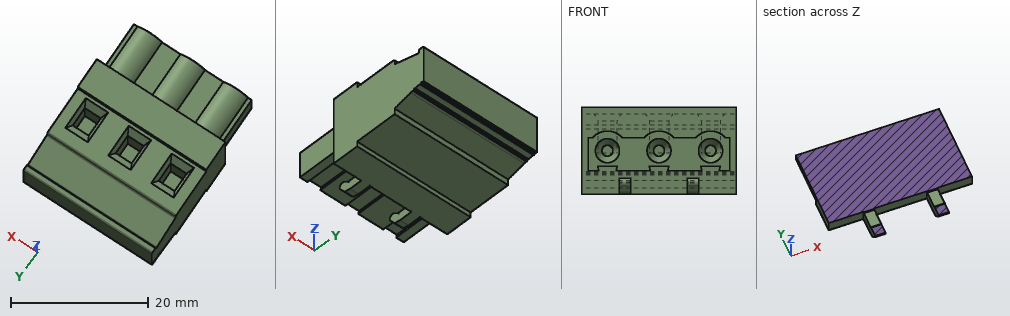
import cadquery as cq
import math

width = 22.5
length = 27.6
height = 12.7
pole_pitch = 7.5
pole_count = 3

flange_front = 8.3
flange_back = 13.33
body_bottom = 0.95
body_top = 11.73
step_y = 21.35
upper_slope_front_z = 10.82
upper_slope_back_z = 9.5
rim_front = 26.58
rim_top = 10.15
lower_slope_front_z = 2.05
lower_slope_back_y = 24.85
lower_slope_back_z = 2.85
lower_arc_mid_y = 26.22
lower_arc_mid_z = 3.15
back_bottom_z = 3.25
profile_fillet = 0.2
grip_radius = 0.1
grip_bead_spots = [(25.4, 2.98), (26.9, 3.23)]
grip_groove_spots = [(25.67, 3.04), (27.15, 3.25)]

plug_width = 20.6
plug_bottom = 3.45
plug_top = 8.25
contact_z = 6.35
barrel_radius = 2.87
contact_mouth_diameter = 3.5
contact_throat_diameter = 1.6
contact_funnel_depth = 1.8
key_slot_top_width = 2.85
key_slot_mouth_width = 2.55
key_slot_depth = 0.63

pocket_y = 16.55
pocket_size_x = 3.92
pocket_size_y = 5.35
well_size_x = 2.8
well_size_y = 3.15
pocket_taper_depth = 1.0
well_depth = 4.7

latch_width = 1.68
latch_spacing = 9.94
latch_top = 1.68
latch_tip_y = 4.33
latch_tip_radius = 0.63
latch_ramp_start_y = 5.93
latch_ramp_angle = math.radians(10)
latch_front_angle = math.radians(50)
latch_bend_radius = 0.58
latch_hook_angle = math.radians(34)
latch_root_chamfer = 0.17

middle_x = width / 2
pole_positions = [middle_x + (i - (pole_count - 1) / 2) * pole_pitch for i in range(pole_count)]


def side_extrusion(sketch, x_start, x_size):
    """Extrude a closed (y, z) outline along X from x_start."""
    return sketch.close().extrude(x_size).translate((x_start, 0, 0))


def housing():
    outline = (
        cq.Workplane("YZ")
        .moveTo(flange_front, 0)
        .lineTo(flange_back, 0)
        .lineTo(flange_back, body_bottom)
        .lineTo(step_y, body_bottom)
        .lineTo(step_y, lower_slope_front_z)
        .lineTo(lower_slope_back_y, lower_slope_back_z)
        .threePointArc((lower_arc_mid_y, lower_arc_mid_z), (length, back_bottom_z))
        .lineTo(length, rim_top)
        .lineTo(rim_front, rim_top)
        .lineTo(rim_front, upper_slope_back_z)
        .lineTo(step_y, upper_slope_front_z)
        .lineTo(step_y, body_top)
        .lineTo(flange_back, body_top)
        .lineTo(flange_back, height)
        .lineTo(flange_front, height)
    )
    body = side_extrusion(outline, 0, width)
    rounded_corners = [
        (length, rim_top),
        (rim_front, rim_top),
        (rim_front, upper_slope_back_z),
        (step_y, upper_slope_front_z),
        (step_y, body_top),
    ]
    for y, z in rounded_corners:
        corner = cq.selectors.NearestToPointSelector((middle_x, y, z))
        body = body.edges("|X").edges(corner).fillet(profile_fillet)
    return body.cut(grip_rods(grip_groove_spots)).union(grip_rods(grip_bead_spots))


def grip_rods(spots):
    """Thin rods across the full width that form the finger grip under the back slope."""
    return cq.Workplane("YZ").pushPoints(spots).circle(grip_radius).extrude(width)


def plug_block(top):
    block_size = (plug_width, flange_front, top - plug_bottom)
    block = cq.Workplane("XY").box(*block_size, centered=(True, False, False))
    return block.translate((middle_x, 0, plug_bottom))


def plug_cylinder(x, radius):
    """Cylinder on a contact axis, as long as the plug."""
    return cq.Workplane("XZ", origin=(x, 0, contact_z)).circle(radius).extrude(-flange_front)


def plug():
    """Flat-topped block with a barrel over each contact, trimmed flush at the block sides."""
    block = plug_block(plug_top)
    envelope = plug_block(height)
    for x in pole_positions:
        barrel = plug_cylinder(x, barrel_radius)
        block = block.union(barrel.intersect(envelope))
    return block.cut(key_slots())


def key_slots():
    """Dovetail slots along the underside of the plug, one under each contact."""
    slots = cq.Workplane("XZ")
    for x in pole_positions:
        slots = slots.polyline([
            (x - key_slot_mouth_width / 2, plug_bottom),
            (x + key_slot_mouth_width / 2, plug_bottom),
            (x + key_slot_top_width / 2, plug_bottom + key_slot_depth),
            (x - key_slot_top_width / 2, plug_bottom + key_slot_depth),
        ]).close()
    return slots.extrude(-flange_front)


def contact_hole(x):
    """Conical lead-in in the plug face that narrows to a bore as deep as the plug."""
    funnel = cq.Solid.makeCone(
        contact_mouth_diameter / 2,
        contact_throat_diameter / 2,
        contact_funnel_depth,
        cq.Vector(x, 0, contact_z),
        cq.Vector(0, 1, 0),
    )
    bore = plug_cylinder(x, contact_throat_diameter / 2)
    return bore.union(cq.Workplane(funnel))


def screw_pockets():
    """Tapered rectangular mouths that lead into straight wells."""
    centers = [(x, pocket_y) for x in pole_positions]
    pockets = (
        cq.Workplane("XY")
        .workplane(offset=body_top - pocket_taper_depth)
        .pushPoints(centers)
        .rect(well_size_x, well_size_y)
        .extrude(-well_depth)
    )
    for center in centers:
        mouth = (
            cq.Workplane("XY")
            .workplane(offset=body_top)
            .center(*center)
            .rect(pocket_size_x, pocket_size_y)
            .workplane(offset=-pocket_taper_depth)
            .rect(well_size_x, well_size_y)
            .loft()
        )
        pockets = pockets.union(mouth)
    return pockets


def latch(x):
    """Arm with a ramped underside and a hooked top that run tangent into a round tip."""

    def on_tip(angle):
        y = latch_tip_y + latch_tip_radius * math.cos(angle)
        z = latch_top + latch_tip_radius * math.sin(angle)
        return (y, z)

    front_tangent = on_tip(-math.pi / 2 - latch_front_angle)
    hook_tangent = on_tip(math.pi / 2 - latch_hook_angle)
    tip_end = on_tip(math.pi - (latch_front_angle + latch_hook_angle) / 2)
    hook_foot_y = latch_tip_y + latch_tip_radius / math.sin(latch_hook_angle)

    ramp_slope = math.tan(latch_ramp_angle)
    front_slope = math.tan(latch_front_angle)
    ramp_z_below_tangent = (latch_ramp_start_y - front_tangent[0]) * ramp_slope
    bend_run = (front_tangent[1] - ramp_z_below_tangent) / (front_slope - ramp_slope)
    bend_y = front_tangent[0] + bend_run
    bend_z = front_tangent[1] - bend_run * front_slope

    outline = (
        cq.Workplane("YZ")
        .moveTo(flange_front, 0)
        .lineTo(latch_ramp_start_y, 0)
        .lineTo(bend_y, bend_z)
        .lineTo(*front_tangent)
        .threePointArc(tip_end, hook_tangent)
        .lineTo(hook_foot_y, latch_top)
        .lineTo(flange_front - latch_root_chamfer, latch_top)
        .lineTo(flange_front, latch_top + latch_root_chamfer)
    )
    arm = side_extrusion(outline, x - latch_width / 2, latch_width)
    bend_edge = cq.selectors.NearestToPointSelector((x, bend_y, bend_z))
    return arm.edges("|X").edges(bend_edge).fillet(latch_bend_radius)


result = housing().union(plug())
for side in (-1, 1):
    result = result.union(latch(middle_x + side * latch_spacing / 2))
for pole_x in pole_positions:
    result = result.cut(contact_hole(pole_x))
result = result.cut(screw_pockets())